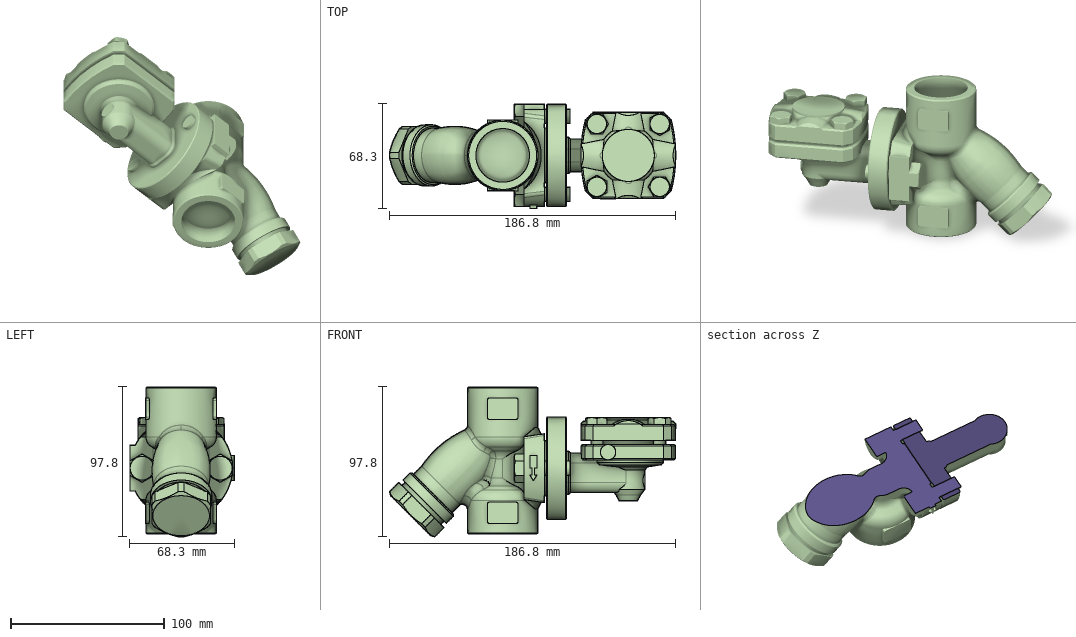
import cadquery as cq
import math


HEAD_FACE_RATIO = 0.97

PIPE_R = 23.0
PIPE_TOP = 53.0
PIPE_BOTTOM = -43.0
PIPE_CHAMFER = 0.8
SOCKET_DIA = 35.0
SOCKET_DEPTH = 14.0

WAIST_R = 11.6
UPPER_SHOULDER_Z = 20.5
LOWER_SHOULDER_Z = -21.0
SHOULDER_R = 7.7
SHOULDER_FOOT_R = 5.9
SHOULDER_TURN = math.radians(60)

PAD_WIDTH = 20.0
PAD_HEIGHT = 14.0
PAD_FACE_Y = 23.2
PAD_CORNER_R = 1.5
PAD_CENTERS_Z = (38.8, -29.1)

STRAINER_ANGLE = 45.0
STRAINER_AXIS_Z = 29.06
BARREL_START = 12.0
BARREL_BULGE_AT = 43.0
BARREL_WAIST_AT = 57.0
LIP_START = 64.5
LIP_END = 72.0
CAP_START = 75.0
CAP_END = 84.95
BARREL_START_R = 11.0
BARREL_BULGE_R = 19.0
BARREL_WAIST_R = 17.8
LIP_R = 20.0
LIP_BEVEL = 1.0
CAP_NECK_R = 18.0
CAP_FLATS = 38.0
CAP_CORNER_FLATS = 41.7
CAP_FACE_R = 18.5
BARREL_FILLET = 3.5

FLANGE_R = 33.5
PLATE_X = 14.0
PLATE_END_X = 27.2
PLATE_HALF_HEIGHT = 20.5
PLATE_END_HALF_HEIGHT = 22.5
PLATE_EDGE_R = 3.0
HUB_R = 18.0
WEB_HALF_WIDTH = 11.6
WEB_BOTTOM = -19.5
WEB_TOP = 19.5
WEB_FILLET = 6.6
LABEL_HEIGHT = 30.0
LABEL_DEPTH = 6.0
SKIRT_R = 26.0
SKIRT_HEIGHT = 4.0
SKIRT_CREST_X = 21.0
DISC_X = 28.6
DISC_END_X = 41.6
DISC_EDGE = 0.6

JOINT_BOLT_Y = 25.5
JOINT_BOLT_DIA = 9.5
JOINT_BOLT_FLATS = 16.0
JOINT_BOLT_HEAD = 6.6
JOINT_BOLT_END_X = 44.0

ARROW_X = 20.0
ARROW_FACE_Y = -34.8
ARROW_ROOT_DEPTH = 2.0
ARROW_TOP = 8.3
ARROW_SHAFT_END = 0.0
ARROW_HEAD_Z = -4.5
ARROW_TIP = -8.2
ARROW_TAIL_HALF = 2.3
ARROW_STEM_HALF = 0.8

ARM_HALF_WIDTH = 10.7
ARM_TOP = 10.0
ARM_BOTTOM = -16.0
ARM_EDGE_R = 6.5
ARM_FOOT_GROWTH = 1.2
ARM_FOOT_LENGTH = 2.6
ARM_FOOT_STEP = 1.08
STEM_X = 81.94
STEM_R = 10.8
STEM_SHOULDER_Z = -13.8
STEM_NECK_Z = -17.6
STEM_NECK_R = 8.0
STEM_TIP_Z = -21.3
STEM_TIP_R = 6.0
STEM_PLUG_Z = -8.0
STEM_PLUG_R = 5.0
STEM_PLUG_REACH = 11.0

SQUARE_HALF_Y = 28.2
SQUARE_CORNER_X = 28.1
SQUARE_BULGE_X = 31.0
SQUARE_CHAMFER = 5.2
BODY_BOTTOM = 5.4
BODY_TOP = 15.5
COVER_BOTTOM = 18.2
COVER_TOP = 28.6
SQUARE_BEVEL = 1.0
GASKET_R = 16.5
BELLY_R = 23.0
BELLY_BOTTOM = 2.2
BELLY_BEVEL = 1.5
BELLY_CONE_BOTTOM = 0.8
BELLY_CONE_R = 12.5
STEM_TOP_Z = -1.2
SEAL_OFFSET_X = -13.2
SEAL_R = 5.0
SEAL_HEIGHT = 0.3
COVER_BOSS_R = 17.0
COVER_BOSS_TOP = 33.0
COVER_BOSS_FOOT_R = 19.0
COVER_BOSS_FOOT_TOP = 31.5
RIB_R = 18.7
RIB_CREST_Z = 34.0
RIB_BASE_Z = 24.0
RIB_TAPER = 6.5
RIB_LIMIT_Z = 31.9
RIB_END_BEVEL = 3.0
COVER_BOLT_OFFSET = 20.5
COVER_BOLT_DIA = 8.0
COVER_BOLT_FLATS = 13.0
COVER_BOLT_TOP = 33.1


def cylinder_x(radius, x_start, x_end, y=0.0, z=0.0):
    """Cylinder lying along X."""
    circle = cq.Workplane("YZ", origin=(x_start, y, z)).circle(radius)
    return circle.extrude(x_end - x_start)


def hex_corner_dia(flats):
    return flats / math.cos(math.pi / 6)


def hex_head(flats, height):
    """Hexagonal head rising from Z = 0, corners on X, with its outer corners rounded off at 30 degrees."""
    corner_r = hex_corner_dia(flats) / 2
    face_r = HEAD_FACE_RATIO * flats / 2
    drop = (corner_r - face_r) * math.tan(math.pi / 6)
    head = cq.Workplane("XY").polygon(6, 2 * corner_r).extrude(height)
    turned = (
        cq.Workplane("XZ")
        .polyline([(0, 0), (corner_r, 0), (corner_r, height - drop), (face_r, height), (0, height)])
        .close()
        .revolve(360, (0, 0, 0), (0, 1, 0))
    )
    return head.intersect(turned)


def shoulder_points(shoulder_z, toward_waist):
    """Socket edge, arc middle, arc end, foot start, foot middle and waist edge, as radius and height."""
    half_turn = SHOULDER_TURN / 2
    crest_drops = [SHOULDER_R * (1 - math.cos(turn)) for turn in (half_turn, SHOULDER_TURN)]
    crest_rises = [SHOULDER_R * math.sin(turn) for turn in (half_turn, SHOULDER_TURN)]
    foot_drops = [SHOULDER_FOOT_R * (1 - math.cos(turn)) for turn in (half_turn, SHOULDER_TURN)]
    foot_rises = [SHOULDER_FOOT_R * math.sin(turn) for turn in (half_turn, SHOULDER_TURN)]
    slope_run = PIPE_R - crest_drops[1] - WAIST_R - foot_drops[1]
    waist_rise = crest_rises[1] + slope_run / math.tan(SHOULDER_TURN) + foot_rises[1]
    points = [
        (PIPE_R, 0),
        (PIPE_R - crest_drops[0], crest_rises[0]),
        (PIPE_R - crest_drops[1], crest_rises[1]),
        (WAIST_R + foot_drops[1], waist_rise - foot_rises[1]),
        (WAIST_R + foot_drops[0], waist_rise - foot_rises[0]),
        (WAIST_R, waist_rise),
    ]
    return [(radius, shoulder_z + toward_waist * rise) for radius, rise in points]


def make_pipe():
    lower = shoulder_points(LOWER_SHOULDER_Z, 1)
    upper = shoulder_points(UPPER_SHOULDER_Z, -1)
    return (
        cq.Workplane("XZ")
        .moveTo(0, PIPE_BOTTOM)
        .lineTo(PIPE_R - PIPE_CHAMFER, PIPE_BOTTOM)
        .lineTo(PIPE_R, PIPE_BOTTOM + PIPE_CHAMFER)
        .lineTo(*lower[0])
        .threePointArc(lower[1], lower[2])
        .lineTo(*lower[3])
        .threePointArc(lower[4], lower[5])
        .lineTo(*upper[5])
        .threePointArc(upper[4], upper[3])
        .lineTo(*upper[2])
        .threePointArc(upper[1], upper[0])
        .lineTo(PIPE_R, PIPE_TOP - PIPE_CHAMFER)
        .lineTo(PIPE_R - PIPE_CHAMFER, PIPE_TOP)
        .lineTo(0, PIPE_TOP)
        .close()
        .revolve(360, (0, 0, 0), (0, 1, 0))
    )


def make_socket_pads():
    pads = cq.Workplane("XY")
    for z in PAD_CENTERS_Z:
        pad = (
            cq.Workplane("XY")
            .box(PAD_WIDTH, 2 * PAD_FACE_Y, PAD_HEIGHT)
            .edges("|Y")
            .fillet(PAD_CORNER_R)
            .translate((0, 0, z))
        )
        pads = pads.add(pad)
    return pads.combine()


def cut_sockets(body):
    lower = cq.Workplane("XY", origin=(0, 0, PIPE_BOTTOM)).circle(SOCKET_DIA / 2).extrude(SOCKET_DEPTH)
    upper = cq.Workplane("XY", origin=(0, 0, PIPE_TOP)).circle(SOCKET_DIA / 2).extrude(-SOCKET_DEPTH)
    return body.cut(lower).cut(upper)


def along_strainer(shape):
    """Turn a shape built along +Z onto the strainer axis."""
    tilt = -(90 + STRAINER_ANGLE)
    return shape.rotate((0, 0, 0), (0, 1, 0), tilt).translate((0, 0, STRAINER_AXIS_Z))


def make_barrel():
    barrel = (
        cq.Workplane("XZ")
        .moveTo(0, BARREL_START)
        .lineTo(BARREL_START_R, BARREL_START)
        .spline([(BARREL_BULGE_R, BARREL_BULGE_AT), (BARREL_WAIST_R, BARREL_WAIST_AT)], includeCurrent=True)
        .lineTo(BARREL_WAIST_R, LIP_START)
        .lineTo(0, LIP_START)
        .close()
        .revolve(360, (0, 0, 0), (0, 1, 0))
    )
    return along_strainer(barrel)


def make_strainer_body():
    """Pipe and barrel, blended by a fillet around the root of the barrel."""
    body = make_pipe().union(make_barrel())
    crotch = cq.selectors.BoxSelector(
        (-PIPE_R, -PIPE_R, UPPER_SHOULDER_Z), (-SHOULDER_R, PIPE_R, STRAINER_AXIS_Z)
    )
    return body.edges(crotch).edges("%BSPLINE").fillet(BARREL_FILLET)


def make_strainer_end():
    """Lip of the barrel and the neck of the screwed cap."""
    profile = [
        (0, LIP_START),
        (LIP_R - LIP_BEVEL, LIP_START),
        (LIP_R, LIP_START + LIP_BEVEL),
        (LIP_R, LIP_END),
        (CAP_NECK_R, LIP_END),
        (CAP_NECK_R, CAP_START),
        (0, CAP_START),
    ]
    end = cq.Workplane("XZ").polyline(profile).close().revolve(360, (0, 0, 0), (0, 1, 0))
    return along_strainer(end)


def make_cap():
    """Hexagonal cap with truncated corners and a bevelled outer face."""
    height = CAP_END - CAP_START
    flats = cq.Workplane("XY").polygon(6, hex_corner_dia(CAP_FLATS)).extrude(height)
    corners = (
        cq.Workplane("XY")
        .polygon(6, hex_corner_dia(CAP_CORNER_FLATS))
        .extrude(height)
        .rotate((0, 0, 0), (0, 0, 1), 30)
    )
    outer_r = hex_corner_dia(CAP_CORNER_FLATS) / 2
    drop = (outer_r - CAP_FACE_R) * math.tan(math.pi / 6)
    turned = (
        cq.Workplane("XZ")
        .polyline([(0, 0), (outer_r, 0), (outer_r, height - drop), (CAP_FACE_R, height), (0, height)])
        .close()
        .revolve(360, (0, 0, 0), (0, 1, 0))
    )
    cap = flats.intersect(corners).intersect(turned)
    return along_strainer(cap.translate((0, 0, CAP_START)))


def make_connector_plate():
    """Round plate with drafted flats above and below, and a square block on its +Y end."""
    length = PLATE_END_X - PLATE_X
    wedge = (
        cq.Workplane("XZ", origin=(0, FLANGE_R, 0))
        .polyline(
            [
                (PLATE_X, -PLATE_HALF_HEIGHT),
                (PLATE_END_X, -PLATE_END_HALF_HEIGHT),
                (PLATE_END_X, PLATE_END_HALF_HEIGHT),
                (PLATE_X, PLATE_HALF_HEIGHT),
            ]
        )
        .close()
        .extrude(2 * FLANGE_R)
    )
    plate = cylinder_x(FLANGE_R, PLATE_X, PLATE_END_X).intersect(wedge)
    plate = plate.edges("not(<X or >X)").fillet(PLATE_EDGE_R)
    label = cq.Workplane("XY").box(length, LABEL_DEPTH, LABEL_HEIGHT)
    label = label.translate((PLATE_X + length / 2, FLANGE_R - LABEL_DEPTH / 2, 0))
    return plate.union(label)


def make_web():
    """Flat-sided web whose sides sweep out into the back of the connector plate."""
    sweep_x = PLATE_X - WEB_FILLET
    sweep_y = WEB_HALF_WIDTH + WEB_FILLET
    mid_x = sweep_x + WEB_FILLET * math.sin(math.pi / 4)
    mid_y = sweep_y - WEB_FILLET * math.cos(math.pi / 4)
    return (
        cq.Workplane("XY", origin=(0, 0, WEB_BOTTOM))
        .moveTo(0, -WEB_HALF_WIDTH)
        .lineTo(sweep_x, -WEB_HALF_WIDTH)
        .threePointArc((mid_x, -mid_y), (PLATE_X, -sweep_y))
        .lineTo(PLATE_X, sweep_y)
        .threePointArc((mid_x, mid_y), (sweep_x, WEB_HALF_WIDTH))
        .lineTo(0, WEB_HALF_WIDTH)
        .close()
        .extrude(WEB_TOP - WEB_BOTTOM)
    )


def make_skirts():
    """Flared feet where both sockets run into the connector plate."""
    top = PLATE_END_HALF_HEIGHT + SKIRT_HEIGHT
    profile = [(0, 0), (SKIRT_R, 0), (SKIRT_R, PLATE_HALF_HEIGHT), (PIPE_R, top), (0, top)]
    upper = cq.Workplane("XZ").polyline(profile).close().revolve(360, (0, 0, 0), (0, 1, 0))
    beside_plate = (
        cq.Workplane("XZ", origin=(0, FLANGE_R, 0))
        .moveTo(PLATE_X, 0)
        .lineTo(PLATE_X, PLATE_HALF_HEIGHT)
        .lineTo(SKIRT_CREST_X, top)
        .lineTo(PLATE_END_X, top)
        .lineTo(PLATE_END_X, 0)
        .close()
        .extrude(2 * FLANGE_R)
    )
    upper = upper.intersect(beside_plate)
    return upper.union(upper.mirror("XY"))


def make_flow_arrow():
    root_y = -FLANGE_R + ARROW_ROOT_DEPTH
    outline = [
        (ARROW_X - ARROW_TAIL_HALF, ARROW_TOP),
        (ARROW_X + ARROW_TAIL_HALF, ARROW_TOP),
        (ARROW_X + ARROW_TAIL_HALF, ARROW_SHAFT_END),
        (ARROW_X + ARROW_STEM_HALF, ARROW_SHAFT_END),
        (ARROW_X + ARROW_STEM_HALF, ARROW_HEAD_Z),
        (ARROW_X + ARROW_TAIL_HALF, ARROW_HEAD_Z),
        (ARROW_X, ARROW_TIP),
        (ARROW_X - ARROW_TAIL_HALF, ARROW_HEAD_Z),
        (ARROW_X - ARROW_STEM_HALF, ARROW_HEAD_Z),
        (ARROW_X - ARROW_STEM_HALF, ARROW_SHAFT_END),
        (ARROW_X - ARROW_TAIL_HALF, ARROW_SHAFT_END),
    ]
    return cq.Workplane("XZ", origin=(0, root_y, 0)).polyline(outline).close().extrude(root_y - ARROW_FACE_Y)


def make_joint_bolt(y):
    """Bolt of the connector, headed against its plate, with its shank through the trap flange."""
    head = hex_head(JOINT_BOLT_FLATS, JOINT_BOLT_HEAD).rotate((0, 0, 0), (0, 1, 0), -90)
    shank = cylinder_x(JOINT_BOLT_DIA / 2, PLATE_X, JOINT_BOLT_END_X)
    return head.translate((PLATE_X, 0, 0)).union(shank).translate((0, y, 0))


def make_connector():
    body = make_strainer_body().union(make_strainer_end()).union(make_cap())
    body = body.union(make_socket_pads())
    body = body.union(make_web()).union(cylinder_x(HUB_R, PLATE_X, DISC_X))
    body = body.union(make_connector_plate()).union(make_skirts()).union(make_flow_arrow())
    for y in (-JOINT_BOLT_Y, JOINT_BOLT_Y):
        body = body.union(make_joint_bolt(y))
    return cut_sockets(body)


def make_disc():
    disc = cylinder_x(FLANGE_R, DISC_X, DISC_END_X).edges().chamfer(DISC_EDGE)
    for y in (-JOINT_BOLT_Y, JOINT_BOLT_Y):
        disc = disc.cut(cylinder_x(JOINT_BOLT_DIA / 2, DISC_X, DISC_END_X, y))
    return disc


def arm_block(x_start, x_end, growth):
    """Rounded bar along X, its section enlarged all round by the growth."""
    height = ARM_TOP - ARM_BOTTOM
    middle = (ARM_TOP + ARM_BOTTOM) / 2
    bar = cq.Workplane("YZ", origin=(x_start, 0, middle))
    bar = bar.rect(2 * (ARM_HALF_WIDTH + growth), height + 2 * growth).extrude(x_end - x_start)
    return bar.edges("|X").fillet(ARM_EDGE_R + growth)


def make_arm():
    foot = arm_block(DISC_END_X, DISC_END_X + ARM_FOOT_LENGTH, ARM_FOOT_GROWTH)
    foot = foot.faces(">X").chamfer(ARM_FOOT_LENGTH / 2, ARM_FOOT_STEP)
    return arm_block(DISC_END_X, STEM_X, 0).union(foot)


def make_stem():
    """Turned stem under the trap body, with the round belly of the body on top."""
    profile = [
        (0, STEM_TIP_Z),
        (STEM_TIP_R, STEM_TIP_Z),
        (STEM_NECK_R, STEM_NECK_Z),
        (STEM_R, STEM_SHOULDER_Z),
        (STEM_R, STEM_TOP_Z),
        (BELLY_CONE_R, BELLY_CONE_BOTTOM),
        (BELLY_R - BELLY_BEVEL, BELLY_BOTTOM),
        (BELLY_R, BELLY_BOTTOM + BELLY_BEVEL),
        (BELLY_R, BODY_BOTTOM),
        (0, BODY_BOTTOM),
    ]
    stem = cq.Workplane("XZ").polyline(profile).close().revolve(360, (0, 0, 0), (0, 1, 0))
    plug = cylinder_x(STEM_PLUG_R, 0, STEM_PLUG_REACH, 0, STEM_PLUG_Z)
    return stem.union(plug).translate((STEM_X, 0, 0))


def square_plate(bottom, top):
    """Square plate with cut corners and bowed X sides, centred on the Z axis."""
    corner_y = SQUARE_HALF_Y - SQUARE_CHAMFER
    edge_x = SQUARE_CORNER_X - SQUARE_CHAMFER
    return (
        cq.Workplane("XY", origin=(0, 0, bottom))
        .moveTo(-edge_x, -SQUARE_HALF_Y)
        .lineTo(edge_x, -SQUARE_HALF_Y)
        .lineTo(SQUARE_CORNER_X, -corner_y)
        .threePointArc((SQUARE_BULGE_X, 0), (SQUARE_CORNER_X, corner_y))
        .lineTo(edge_x, SQUARE_HALF_Y)
        .lineTo(-edge_x, SQUARE_HALF_Y)
        .lineTo(-SQUARE_CORNER_X, corner_y)
        .threePointArc((-SQUARE_BULGE_X, 0), (-SQUARE_CORNER_X, -corner_y))
        .close()
        .extrude(top - bottom)
    )


def make_trap_body():
    body = square_plate(BODY_BOTTOM, BODY_TOP).faces("<Z or >Z").chamfer(SQUARE_BEVEL)
    seal = cq.Workplane("XZ", origin=(SEAL_OFFSET_X, 0, (BODY_BOTTOM + BODY_TOP) / 2))
    seal = seal.circle(SEAL_R).extrude(SQUARE_HALF_Y + SEAL_HEIGHT)
    gasket = cq.Workplane("XY", origin=(0, 0, BODY_TOP)).circle(GASKET_R).extrude(COVER_BOTTOM - BODY_TOP)
    return body.union(seal).union(gasket).translate((STEM_X, 0, 0))


def make_cover_rib(angle):
    base_depth = RIB_R - (RIB_CREST_Z - RIB_BASE_Z)
    base_half_width = math.sqrt(RIB_R**2 - base_depth**2)
    rib = (
        cq.Workplane("YZ")
        .moveTo(-base_half_width, RIB_BASE_Z)
        .threePointArc((0, RIB_CREST_Z), (base_half_width, RIB_BASE_Z))
        .close()
        .extrude(SQUARE_BULGE_X, taper=RIB_TAPER)
    )
    return rib.rotate((0, 0, 0), (0, 0, 1), angle)


def make_cover():
    cover = square_plate(COVER_BOTTOM, COVER_TOP).faces(">Z").chamfer(SQUARE_BEVEL)
    limit = square_plate(COVER_BOTTOM, RIB_LIMIT_Z).faces(">Z").chamfer(RIB_END_BEVEL)
    for angle in (0, 90, 180, 270):
        cover = cover.union(make_cover_rib(angle).intersect(limit))
    boss_profile = [
        (0, COVER_BOTTOM),
        (COVER_BOSS_FOOT_R, COVER_BOTTOM),
        (COVER_BOSS_FOOT_R, COVER_TOP),
        (COVER_BOSS_R, COVER_BOSS_FOOT_TOP),
        (COVER_BOSS_R, COVER_BOSS_TOP),
        (0, COVER_BOSS_TOP),
    ]
    boss = cq.Workplane("XZ").polyline(boss_profile).close().revolve(360, (0, 0, 0), (0, 1, 0))
    return cover.union(boss).translate((STEM_X, 0, 0))


def make_cover_bolts():
    """Four bolts in a square, each head a quarter turn on from the last."""
    bolts = cq.Workplane("XY")
    for quarter in range(4):
        head = hex_head(COVER_BOLT_FLATS, COVER_BOLT_TOP - COVER_TOP).translate((0, 0, COVER_TOP))
        shank = cq.Workplane("XY", origin=(0, 0, BODY_BOTTOM + SQUARE_BEVEL))
        shank = shank.circle(COVER_BOLT_DIA / 2).extrude(COVER_TOP - BODY_BOTTOM - SQUARE_BEVEL)
        bolt = head.union(shank).translate((-COVER_BOLT_OFFSET, COVER_BOLT_OFFSET, 0))
        bolts = bolts.add(bolt.rotate((0, 0, 0), (0, 0, 1), 90 * quarter))
    return bolts.translate((STEM_X, 0, 0))


def make_trap():
    trap = make_disc().union(make_arm()).union(make_stem())
    trap = trap.union(make_trap_body()).union(make_cover())
    for bolt in make_cover_bolts().vals():
        trap = trap.union(cq.Workplane(bolt))
    return trap


connector = make_connector()
trap = make_trap()

result = cq.Compound.makeCompound([connector.solids().val(), trap.solids().val()])